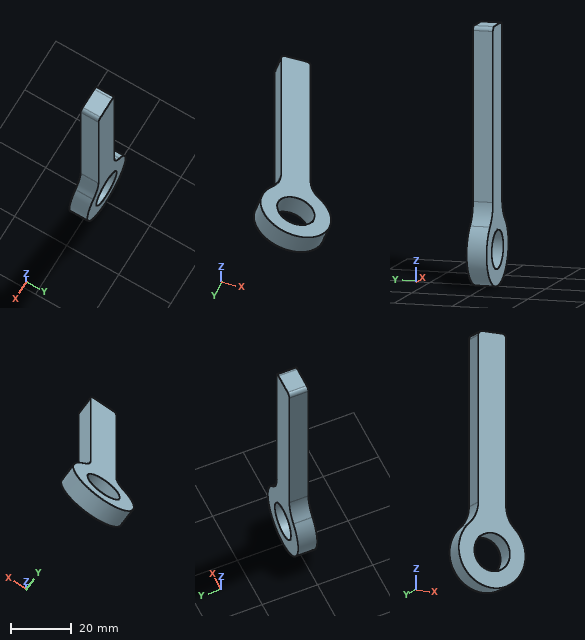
import cadquery as cq
import math

total_height = 87.7
thickness = 6.9
ring_diameter = 24.6
hole_diameter = 13.1
handle_width = 10.3

neck_radius = 10.5
tip_radius = 1.4

ring_radius = ring_diameter / 2
half_width = handle_width / 2
tip_height = total_height - ring_radius

neck_center_x = half_width + neck_radius
neck_center_distance = ring_radius + neck_radius
neck_center_z = math.sqrt(neck_center_distance**2 - neck_center_x**2)
ring_share = ring_radius / neck_center_distance
ring_tangent_x = neck_center_x * ring_share
ring_tangent_z = neck_center_z * ring_share

neck_angle = (math.pi + math.atan2(neck_center_z, neck_center_x) + math.pi) / 2
neck_mid_x = neck_center_x + neck_radius * math.cos(neck_angle)
neck_mid_z = neck_center_z + neck_radius * math.sin(neck_angle)


def make_body():
    """Ring and handle in one outline, centred on Y."""
    return (
        cq.Workplane("XZ")
        .moveTo(half_width, tip_height)
        .lineTo(half_width, neck_center_z)
        .threePointArc((neck_mid_x, neck_mid_z), (ring_tangent_x, ring_tangent_z))
        .threePointArc((0, -ring_radius), (-ring_tangent_x, ring_tangent_z))
        .threePointArc((-neck_mid_x, neck_mid_z), (-half_width, neck_center_z))
        .lineTo(-half_width, tip_height)
        .close()
        .extrude(thickness / 2, both=True)
    )


def bore_ring(body):
    """Drill the hole through the ring centre."""
    return body.faces("<Y").workplane(origin=(0, 0, 0)).hole(hole_diameter)


def round_tip(body):
    """Round the two corners at the free end of the handle."""
    return body.faces(">Z").edges("|Y").fillet(tip_radius)


result = bore_ring(round_tip(make_body()))